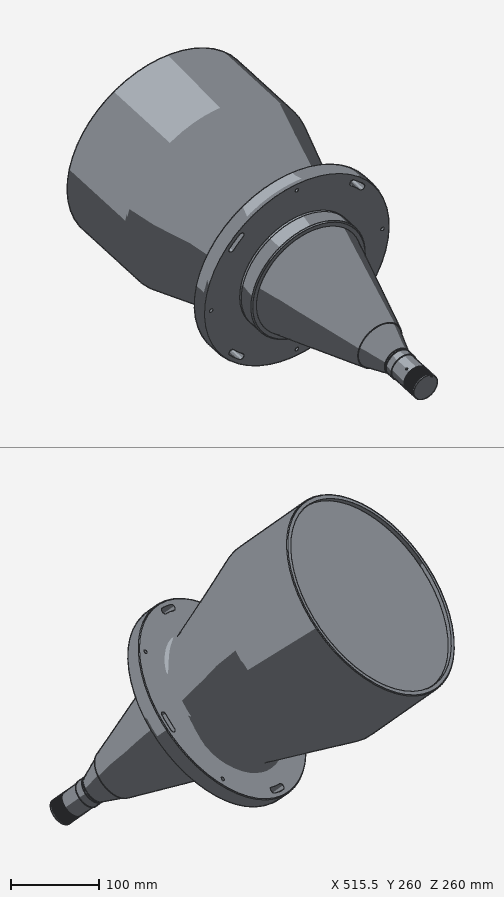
import cadquery as cq
import math

LENGTH = 515.5

GLASS_RADIUS = 124.0
GLASS_RECESS = 5.0
GLASS_DOME_HEIGHT = 4.0
GLASS_EDGE_THICKNESS = 20.5
GLASS_BACK = GLASS_RECESS + GLASS_EDGE_THICKNESS

BARREL_RADIUS = 130.0
BARREL_END = 110.0
BARREL_BEVEL_LENGTH = 1.5
BARREL_BEVEL_DEPTH = 0.25
BARREL_FRONT_CHAMFER = 1.0
TAPER_END = 235.5
NECK_RADIUS = 89.0

FLANGE_RADIUS = BARREL_RADIUS
FLANGE_START = 246.0
FLANGE_THICKNESS = 19.5
FLANGE_END = FLANGE_START + FLANGE_THICKNESS
FLANGE_FILLET = 7.0
FLANGE_FRONT_CHAMFER = 1.0
FLANGE_REAR_BEVEL_LENGTH = 3.5
FLANGE_REAR_BEVEL_DEPTH = 1.0

OPENING_CIRCLE_RADIUS = 119.5
OPENING_COUNT = 4
SLOT_WIDTH = 7.5
SLOT_SPAN_ANGLE = 9.0
FIRST_SLOT_ANGLE = 45.0
FLANGE_HOLE_DIAMETER = 4.5

COLLAR_RADIUS = 80.0
COLLAR_JOINT = 268.5
COLLAR_END = 288.5
COLLAR_CHAMFER = 1.5

REAR_CONE_FRONT_RADIUS = 73.0
REAR_CONE_BACK_RADIUS = 31.0
REAR_CONE_END = 426.0
NOSE_FRONT_RADIUS = 30.0
NOSE_END = 459.0

MOUNT_RADIUS = 16.5
RING_RADIUS = 17.5
RING_START = 461.5
RING_END = 472.0
THREAD_START = 495.0
THREAD_TURNS = 21
THREAD_PITCH = 0.8
THREAD_DEPTH = 0.5
STUD_HEIGHT = 1.0
MOUNT_END = LENGTH - STUD_HEIGHT

SCREW_HOLE_X = 489.5
SCREW_HOLE_ANGLES = (120.0, 210.0)
SCREW_HOLE_DIAMETER = 2.5
SCREW_HOLE_DEPTH = 5.0

STUD_DIAMETER = 2.0
STUD_ANGLE = 59.0
STUD_CIRCLE_RADIUS = 15.5


def polar(radius, angle):
    """Point at a radius and an angle in degrees; in the YZ plane the angle runs from +Y to +Z."""
    return (radius * math.cos(math.radians(angle)), radius * math.sin(math.radians(angle)))


def revolve_about_x(profile):
    """Closes an (x, radius) outline and turns it about the X axis."""
    return profile.close().revolve(360, (0, 0, 0), (1, 0, 0))


def make_glass():
    dome_radius = (GLASS_RADIUS**2 + GLASS_DOME_HEIGHT**2) / (2 * GLASS_DOME_HEIGHT)
    profile = (
        cq.Workplane("XZ")
        .moveTo(GLASS_RECESS - GLASS_DOME_HEIGHT, 0)
        .radiusArc((GLASS_RECESS, GLASS_RADIUS), dome_radius)
        .lineTo(GLASS_BACK, GLASS_RADIUS)
        .lineTo(GLASS_BACK, 0)
    )
    return revolve_about_x(profile)


def arc_slot(angle):
    """One slot through the flange, curved along the opening circle and rounded at its ends."""
    inner = OPENING_CIRCLE_RADIUS - SLOT_WIDTH / 2
    outer = OPENING_CIRCLE_RADIUS + SLOT_WIDTH / 2
    start = angle - SLOT_SPAN_ANGLE / 2
    end = angle + SLOT_SPAN_ANGLE / 2
    cap_angle = math.degrees(SLOT_WIDTH / 2 / OPENING_CIRCLE_RADIUS)
    return (
        cq.Workplane("YZ", origin=(FLANGE_START, 0, 0))
        .moveTo(*polar(inner, start))
        .threePointArc(polar(inner, angle), polar(inner, end))
        .threePointArc(polar(OPENING_CIRCLE_RADIUS, end + cap_angle), polar(outer, end))
        .threePointArc(polar(outer, angle), polar(outer, start))
        .threePointArc(polar(OPENING_CIRCLE_RADIUS, start - cap_angle), polar(inner, start))
        .close()
        .extrude(FLANGE_THICKNESS)
    )


def flange_holes():
    """Round holes through the flange, midway between the slots."""
    return (
        cq.Workplane("YZ", origin=(FLANGE_START, 0, 0))
        .polarArray(OPENING_CIRCLE_RADIUS, 0, 360, OPENING_COUNT)
        .circle(FLANGE_HOLE_DIAMETER / 2)
        .extrude(FLANGE_THICKNESS)
    )


def make_front_barrel():
    """Barrel, taper, neck, flange and spigot, with the glass seat bored into the front."""
    profile = (
        cq.Workplane("XZ")
        .moveTo(GLASS_BACK, 0)
        .lineTo(GLASS_BACK, GLASS_RADIUS)
        .lineTo(0, GLASS_RADIUS)
        .lineTo(0, BARREL_RADIUS - BARREL_FRONT_CHAMFER)
        .lineTo(BARREL_FRONT_CHAMFER, BARREL_RADIUS)
        .lineTo(BARREL_END, BARREL_RADIUS)
        .lineTo(BARREL_END + BARREL_BEVEL_LENGTH, BARREL_RADIUS - BARREL_BEVEL_DEPTH)
        .lineTo(TAPER_END, NECK_RADIUS)
        .lineTo(FLANGE_START - FLANGE_FILLET, NECK_RADIUS)
        .radiusArc((FLANGE_START, NECK_RADIUS + FLANGE_FILLET), -FLANGE_FILLET)
        .lineTo(FLANGE_START, FLANGE_RADIUS - FLANGE_FRONT_CHAMFER)
        .lineTo(FLANGE_START + FLANGE_FRONT_CHAMFER, FLANGE_RADIUS)
        .lineTo(FLANGE_END - FLANGE_REAR_BEVEL_LENGTH, FLANGE_RADIUS)
        .lineTo(FLANGE_END, FLANGE_RADIUS - FLANGE_REAR_BEVEL_DEPTH)
        .lineTo(FLANGE_END, COLLAR_RADIUS)
        .lineTo(COLLAR_JOINT, COLLAR_RADIUS)
        .lineTo(COLLAR_JOINT, 0)
    )
    barrel = revolve_about_x(profile).cut(flange_holes())
    for index in range(OPENING_COUNT):
        barrel = barrel.cut(arc_slot(FIRST_SLOT_ANGLE + index * 360 / OPENING_COUNT))
    return barrel


def make_rear_cone():
    profile = (
        cq.Workplane("XZ")
        .moveTo(COLLAR_JOINT, 0)
        .lineTo(COLLAR_JOINT, COLLAR_RADIUS)
        .lineTo(COLLAR_END - COLLAR_CHAMFER, COLLAR_RADIUS)
        .lineTo(COLLAR_END, COLLAR_RADIUS - COLLAR_CHAMFER)
        .lineTo(COLLAR_END, REAR_CONE_FRONT_RADIUS)
        .lineTo(REAR_CONE_END, REAR_CONE_BACK_RADIUS)
        .lineTo(REAR_CONE_END, 0)
    )
    return revolve_about_x(profile)


def make_nose_cone():
    profile = (
        cq.Workplane("XZ")
        .moveTo(REAR_CONE_END, 0)
        .lineTo(REAR_CONE_END, NOSE_FRONT_RADIUS)
        .lineTo(NOSE_END, RING_RADIUS)
        .lineTo(NOSE_END, 0)
    )
    return revolve_about_x(profile)


def screw_hole(angle):
    """Radial cutter that enters the sleeve from outside."""
    return (
        cq.Workplane("XZ", origin=(SCREW_HOLE_X, MOUNT_RADIUS, 0))
        .circle(SCREW_HOLE_DIAMETER / 2)
        .extrude(SCREW_HOLE_DEPTH)
        .rotate((0, 0, 0), (1, 0, 0), angle)
    )


def locating_stud():
    return (
        cq.Workplane("YZ", origin=(MOUNT_END, 0, 0))
        .center(*polar(STUD_CIRCLE_RADIUS, STUD_ANGLE))
        .circle(STUD_DIAMETER / 2)
        .extrude(STUD_HEIGHT)
    )


def make_camera_mount():
    """Groove, ring and sleeve; the thread is a row of V-shaped rings."""
    profile = (
        cq.Workplane("XZ")
        .moveTo(NOSE_END, 0)
        .lineTo(NOSE_END, MOUNT_RADIUS)
        .lineTo(RING_START, MOUNT_RADIUS)
        .lineTo(RING_START, RING_RADIUS)
        .lineTo(RING_END, RING_RADIUS)
        .lineTo(RING_END, MOUNT_RADIUS)
        .lineTo(THREAD_START, MOUNT_RADIUS)
    )
    for turn in range(THREAD_TURNS):
        crest = THREAD_START + turn * THREAD_PITCH
        profile = profile.lineTo(crest + THREAD_PITCH / 2, MOUNT_RADIUS - THREAD_DEPTH)
        profile = profile.lineTo(crest + THREAD_PITCH, MOUNT_RADIUS)
    profile = profile.lineTo(MOUNT_END, MOUNT_RADIUS).lineTo(MOUNT_END, 0)
    mount = revolve_about_x(profile).union(locating_stud())
    for angle in SCREW_HOLE_ANGLES:
        mount = mount.cut(screw_hole(angle))
    return mount


glass = make_glass()
front_barrel = make_front_barrel()
rear_cone = make_rear_cone()
nose_cone = make_nose_cone()
camera_mount = make_camera_mount()

result = cq.Compound.makeCompound(
    [glass.val(), front_barrel.val(), rear_cone.val(), nose_cone.val(), camera_mount.val()]
)